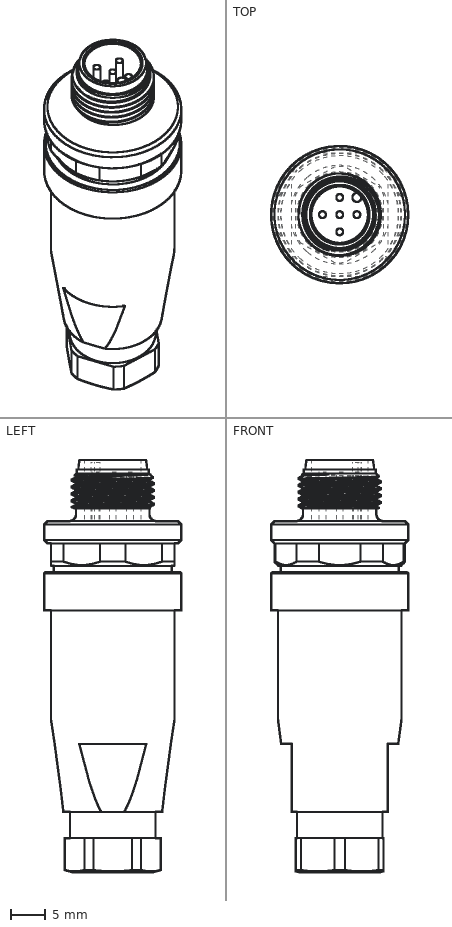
import cadquery as cq
import math

nut_top = 5.0
neck_top = 8.8
flat_top = 18.7
taper_top = 22.2
body_top = 38.1
collar_top = 43.7
hex_bottom = 44.6
hex_top = 47.85
flange_top = 51.1
rim_top = 60.0

nut_radius = 7.0
nut_across_flats = 12.8
nut_end_radius = 5.8
nut_chamfer_height = 0.35

neck_radius = 6.25
taper_end_radius = 7.2
sleeve_across_flats = 14.0
body_radius = 9.0
collar_radius = 10.0
collar_chamfer = 0.25
groove_radius = 8.6

hex_corner_radius = 9.5
hex_across_flats = 18.0
hex_chamfer = 0.6
flange_radius = 10.0
flange_chamfer = 0.5

plug_neck_radius = 5.35
neck_fillet = 1.0
shoulder_radius = 5.25
shoulder_top = 58.6
tip_radius = 5.0
tip_chamfer_width = 0.15
tip_chamfer_height = 0.95
thread_major_radius = 6.0
thread_minor_radius = 5.45
thread_pitch = 1.0
thread_crest_width = thread_pitch / 8
thread_root_width = 0.75 * thread_pitch
thread_overlap = 0.05
thread_bottom = 52.9
thread_runout = 0.25
lead_in_top = 58.05
helix_start = 51.8
helix_height = 7.0

bore_radius = 4.1
bore_mouth_radius = 4.35
bore_mouth_depth = 0.1
bore_floor = flange_top
pin_radius = 0.5
pin_spacing = 2.5
pin_top = 58.2
key_radius = 0.65
key_top = 59.6


def revolve_profile(points):
    """Turn (radius, height) points into a solid of revolution about Z."""
    return cq.Workplane("XZ").polyline(points).close().revolve(360, (0, 0), (0, 1))


def cylinder(radius, bottom, top, x=0.0, y=0.0):
    return cq.Workplane("XY", origin=(x, y, bottom)).circle(radius).extrude(top - bottom)


def hexagon(across_flats, bottom, top, turn):
    """Hexagonal prism; turn = 0 puts corners on X, 30 puts flats on X."""
    prism = cq.Workplane("XY").polygon(6, across_flats / math.cos(math.pi / 6)).extrude(top - bottom)
    return prism.rotate((0, 0, 0), (0, 0, 1), turn).translate((0, 0, bottom))


def gland_nut():
    turned = revolve_profile([
        (0, 0),
        (nut_end_radius, 0),
        (nut_radius, nut_chamfer_height),
        (nut_radius, nut_top),
        (0, nut_top),
    ])
    return turned.intersect(hexagon(nut_across_flats, 0, nut_top, 30))


def tapered_sleeve():
    """Cone below the body, with a wrench flat on each X side."""
    cone = revolve_profile([
        (0, neck_top),
        (taper_end_radius, neck_top),
        (body_radius, taper_top),
        (0, taper_top),
    ])
    flat_height = flat_top - neck_top
    between_flats = cq.Workplane("XY", origin=(0, 0, neck_top)).box(
        sleeve_across_flats, 2 * body_radius, flat_height, centered=(True, True, False))
    above_flats = cylinder(body_radius, flat_top, taper_top)
    return cone.intersect(between_flats.union(above_flats))


def body_and_collar():
    """Body, wider collar with a chamfered top edge, and the groove below the hexagon."""
    return revolve_profile([
        (0, taper_top),
        (body_radius, taper_top),
        (body_radius, body_top),
        (collar_radius, body_top),
        (collar_radius, collar_top - collar_chamfer),
        (collar_radius - collar_chamfer, collar_top),
        (groove_radius, collar_top),
        (groove_radius, hex_bottom),
        (0, hex_bottom),
    ])


def coupling_hexagon():
    turned = revolve_profile([
        (0, hex_bottom),
        (hex_corner_radius - hex_chamfer, hex_bottom),
        (hex_corner_radius, hex_bottom + hex_chamfer),
        (hex_corner_radius, hex_top),
        (0, hex_top),
    ])
    return turned.intersect(hexagon(hex_across_flats, hex_bottom, hex_top, 0))


def coupling_flange():
    return cylinder(flange_radius, hex_top, flange_top).edges().chamfer(flange_chamfer)


def plug_core():
    """Round plug with a fillet at its foot and a stepped, chamfered tip."""
    fillet_top = flange_top + neck_fillet
    fillet_outer = plug_neck_radius + neck_fillet
    fillet_reach = neck_fillet * (1 - math.sqrt(0.5))
    lead_in_height = thread_minor_radius - shoulder_radius
    return (
        cq.Workplane("XZ")
        .moveTo(0, flange_top)
        .lineTo(fillet_outer, flange_top)
        .threePointArc(
            (plug_neck_radius + fillet_reach, flange_top + fillet_reach),
            (plug_neck_radius, fillet_top),
        )
        .lineTo(plug_neck_radius, thread_bottom)
        .lineTo(thread_minor_radius, thread_bottom)
        .lineTo(thread_minor_radius, lead_in_top - lead_in_height)
        .lineTo(shoulder_radius, lead_in_top)
        .lineTo(shoulder_radius, shoulder_top)
        .lineTo(tip_radius, shoulder_top)
        .lineTo(tip_radius, rim_top - tip_chamfer_height)
        .lineTo(tip_radius - tip_chamfer_width, rim_top)
        .lineTo(0, rim_top)
        .close()
        .revolve(360, (0, 0), (0, 1))
    )


def plug_thread():
    """Right-hand helical ridge, trimmed to a 45 degree lead-in at the top and a runout at the bottom."""
    inner_radius = thread_minor_radius - thread_overlap
    helix = cq.Wire.makeHelix(thread_pitch, helix_height, inner_radius)
    ridge = (
        cq.Workplane("XZ")
        .polyline([
            (inner_radius, -thread_root_width / 2),
            (thread_major_radius, -thread_crest_width / 2),
            (thread_major_radius, thread_crest_width / 2),
            (inner_radius, thread_root_width / 2),
        ])
        .close()
        .sweep(cq.Workplane(obj=helix), isFrenet=True)
        .translate((0, 0, helix_start))
    )
    clear_radius = thread_major_radius + thread_overlap
    envelope = revolve_profile([
        (0, thread_bottom),
        (thread_minor_radius, thread_bottom),
        (clear_radius, thread_bottom + thread_runout),
        (clear_radius, lead_in_top - (clear_radius - shoulder_radius)),
        (shoulder_radius, lead_in_top),
        (0, lead_in_top),
    ])
    return ridge.intersect(envelope)


def socket():
    return revolve_profile([
        (0, bore_floor),
        (bore_radius, bore_floor),
        (bore_radius, rim_top - bore_mouth_depth),
        (bore_mouth_radius, rim_top),
        (0, rim_top),
    ])


def contacts_and_key():
    centres = [(0, 0), (pin_spacing, 0), (-pin_spacing, 0), (0, pin_spacing), (0, -pin_spacing)]
    inserts = cylinder(key_radius, bore_floor, key_top, pin_spacing, pin_spacing)
    for x, y in centres:
        inserts = inserts.union(cylinder(pin_radius, bore_floor, pin_top, x, y))
    return inserts


plug = plug_core().union(plug_thread()).cut(socket())

result = (
    gland_nut()
    .union(cylinder(neck_radius, nut_top, neck_top))
    .union(tapered_sleeve())
    .union(body_and_collar())
    .union(coupling_hexagon())
    .union(coupling_flange())
    .union(plug)
    .union(contacts_and_key())
)